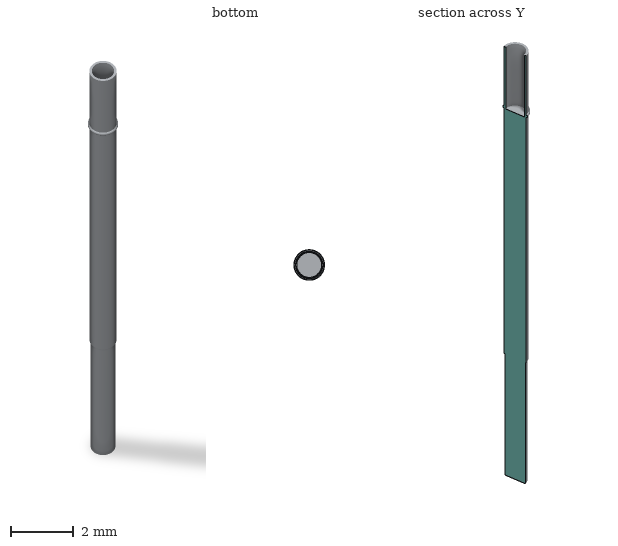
import cadquery as cq

total_length = 17.7
tail_length = 5.0
tail_diameter = 0.8
barrel_diameter = 0.87
barrel_chamfer = (barrel_diameter - tail_diameter) / 2
collar_diameter = 0.97
collar_to_top = 2.45
bore_diameter = 0.7

tail_radius = tail_diameter / 2
barrel_radius = barrel_diameter / 2
collar_radius = collar_diameter / 2

bead_radius = collar_radius - barrel_radius
collar_top = total_length - collar_to_top
collar_middle = collar_top - bead_radius
collar_base = collar_top - 2 * bead_radius

body = (
    cq.Workplane("XZ")
    .lineTo(tail_radius, 0)
    .lineTo(tail_radius, tail_length)
    .lineTo(barrel_radius, tail_length + barrel_chamfer)
    .lineTo(barrel_radius, collar_base)
    .threePointArc((collar_radius, collar_middle), (barrel_radius, collar_top))
    .lineTo(barrel_radius, total_length)
    .lineTo(0, total_length)
    .close()
    .revolve(360, (0, 0, 0), (0, 1, 0))
)

bore_depth = total_length - collar_base
bore = cq.Workplane("XY").workplane(offset=collar_base).circle(bore_diameter / 2).extrude(bore_depth)

result = body.cut(bore)